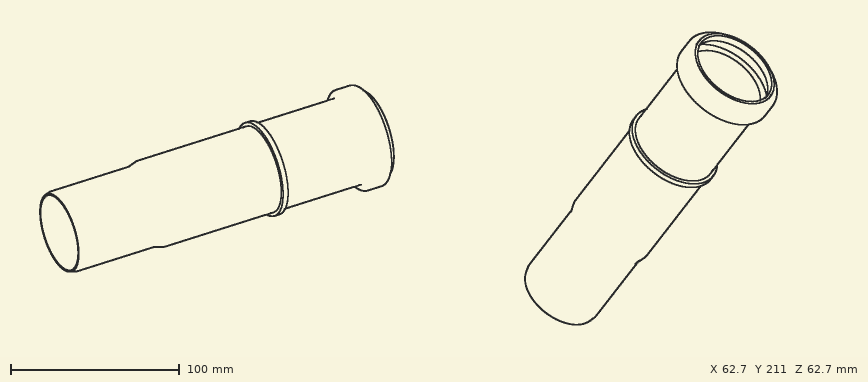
import cadquery as cq

length = 211.0
mouth_y = length / 2

spigot_diameter = 50.0
spigot_bore = 46.5
body_diameter = 53.5
body_bore = 50.2
rib_diameter = 58.0
collar_diameter = 62.7
seal_groove_diameter = 59.5

collar_start = 3.2
collar_end = 15.5
rib_start = 72.5
rib_width = 3.4
taper_start = 149.0
taper_end = 155.3

collar_round = 1.0
collar_draft = 0.6
tip_bevel_length = 3.2
tip_bevel_depth = 0.8

collar_wall = (collar_diameter - seal_groove_diameter) / 2


def revolve_profile(points):
    """Turn a closed (diameter, depth from mouth) outline about the Y axis."""
    outline = [(diameter / 2, mouth_y - depth) for diameter, depth in points]
    return cq.Workplane("XY").polyline(outline).close().revolve(360, (0, 0, 0), (0, 1, 0))


def ring(diameter, start, end):
    """Solid disc coaxial with the pipe between two depths."""
    return revolve_profile([(0, start), (diameter, start), (diameter, end), (0, end)])


def pipe_outside():
    """Stepped pipe with the collar, whose four circular corners are rounded alike."""
    outside = revolve_profile([
        (0, 0),
        (body_diameter, 0),
        (body_diameter, collar_start),
        (collar_diameter, collar_start + collar_draft),
        (collar_diameter, collar_end - collar_draft),
        (body_diameter, collar_end),
        (body_diameter, taper_start),
        (spigot_diameter, taper_end),
        (spigot_diameter, length - tip_bevel_length),
        (spigot_diameter - 2 * tip_bevel_depth, length),
        (0, length),
    ])
    collar_box = cq.selectors.BoxSelector(
        (-collar_diameter, mouth_y - collar_end - collar_round, -collar_diameter),
        (collar_diameter, mouth_y - collar_start + collar_round, collar_diameter),
        boundingbox=True,
    )
    return outside.edges("%CIRCLE").edges(collar_box).fillet(collar_round)


def pipe_bore():
    return revolve_profile([
        (0, 0),
        (body_bore, 0),
        (body_bore, taper_start),
        (spigot_bore, taper_end),
        (spigot_bore, length),
        (0, length),
    ])


rib = ring(rib_diameter, rib_start, rib_start + rib_width)
seal_groove = ring(
    seal_groove_diameter,
    collar_start + collar_wall,
    collar_end - collar_wall,
)

result = pipe_outside().union(rib).cut(pipe_bore()).cut(seal_groove)